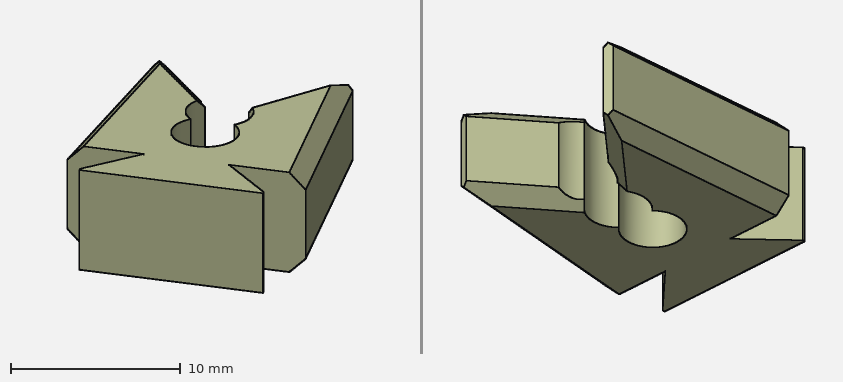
import cadquery as cq
import math

length = 17.3
width = 14.65
thickness = 6.5
chamfer = 1.0

foot_width = 11.28
foot_land = 0.17
shoulder_y = 3.2

side_angle = math.radians(5)
tip_inner_x = 5.5
tip_drop = 0.2

seat_radius = 2.0
seat_pitch = 3.0
seat_count = 3
first_seat_y = 7.1

mid_z = thickness / 2
mouth_y = first_seat_y + (seat_count - 1) * seat_pitch
mouth_slope = (length - mouth_y) / (tip_inner_x - seat_radius)
apex_y = mouth_y - seat_radius * mouth_slope
mouth_end_y = length + chamfer


def make_block():
    """Tapered block with slanted tips and chamfered outer sides."""
    tip_y = length - tip_drop
    tip_outer_x = width / 2 - (tip_y - shoulder_y) * math.tan(side_angle)
    block = (
        cq.Workplane("XY")
        .moveTo(-width / 2, shoulder_y)
        .lineTo(width / 2, shoulder_y)
        .lineTo(tip_outer_x, tip_y)
        .lineTo(tip_inner_x, length)
        .lineTo(-tip_inner_x, length)
        .lineTo(-tip_outer_x, tip_y)
        .close()
        .extrude(thickness)
    )
    margin = 0.17
    side_mid_y = (shoulder_y + tip_y) / 2
    long_edges = cq.selectors.BoxSelector(
        (-width, side_mid_y - margin, -margin),
        (width, side_mid_y + margin, thickness + margin),
    )
    return block.edges(long_edges).chamfer(chamfer)


def make_foot():
    """Dovetail with 45 degree flanks and a narrow square land."""
    half_foot = foot_width / 2
    half_neck = half_foot - (shoulder_y - foot_land)
    return (
        cq.Workplane("XY")
        .polyline([
            (-half_foot, 0),
            (half_foot, 0),
            (half_foot, foot_land),
            (half_neck, shoulder_y),
            (-half_neck, shoulder_y),
            (-half_foot, foot_land),
        ])
        .close()
        .extrude(thickness)
    )


def mouth_triangle(offset):
    """Corners of the V mouth with its flanks moved outward by offset."""
    start_y = apex_y - offset * math.hypot(1, mouth_slope)
    half_end = (mouth_end_y - start_y) / mouth_slope
    return [(0, start_y), (half_end, mouth_end_y), (-half_end, mouth_end_y)]


def make_mouth():
    """V cutter that flares toward the upper and lower faces."""
    mouth = cq.Workplane("XY").polyline(mouth_triangle(0)).close().extrude(thickness)
    flare = (
        cq.Workplane("XY")
        .workplane(offset=thickness - chamfer)
        .polyline(mouth_triangle(0))
        .close()
        .workplane(offset=chamfer)
        .polyline(mouth_triangle(chamfer))
        .close()
        .loft(ruled=True)
    )
    return mouth.union(flare).union(flare.mirror("XY", (0, 0, mid_z)))


def make_seats():
    """Round through holes in a row along Y."""
    centres = [(0, first_seat_y + i * seat_pitch) for i in range(seat_count)]
    return cq.Workplane("XY").pushPoints(centres).circle(seat_radius).extrude(thickness)


result = make_block().union(make_foot()).cut(make_mouth())
result = result.cut(make_seats())